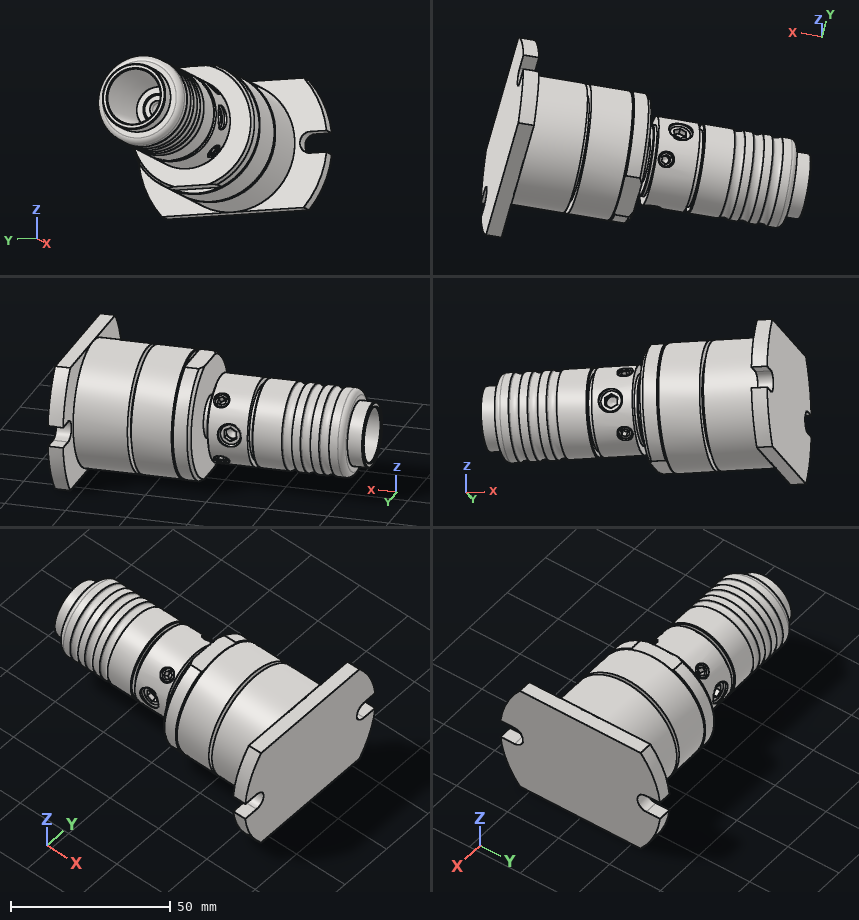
import cadquery as cq
import math

TOTAL_LENGTH = 97.1
EDGE_BREAK = 0.3

NOSE_DIA = 21.0
NOSE_LENGTH = 5.05
BORE_MOUTH_DIA = 17.7
BORE_FLOOR_DIA = 14.0
BORE_DEPTH = 22.3
RING_GROOVE_OUTER_DIA = 9.7
RING_GROOVE_INNER_DIA = 8.9
RING_GROOVE_DEPTH = 0.5
CENTRE_HOLE_DIA = 4.0
CENTRE_HOLE_RIM_DIA = 5.2
DRILL_POINT_ANGLE = 118.0

SLEEVE_DIA = 28.6
SLEEVE_END = 35.2
SLEEVE_ROUND = 2.0
GRIP_START = 9.9
GRIP_GROOVE_WIDTH = 3.3
GRIP_GROOVE_DEPTH = 0.6
GRIP_EDGE_DROP = 0.2
GRIP_PITCH = 6.1
GRIP_COUNT = 3

NECK_DIA = 24.7
COLLAR_START = 36.7
COLLAR_END = 49.8
FLANGE_DIA = 22.8
FLANGE_END = 51.0
SHAFT_DIA = 14.0

NUT_START = 53.5
NUT_CHAMFER_LENGTH = 1.1
NUT_CHAMFER_HEIGHT = 0.9
NUT_ACROSS_FLATS = 38.1
BODY_START = 59.4
BODY_DIA = 41.5
BODY_GROOVE_DIA = 34.6
BODY_GROOVE_START = 72.9
BODY_GROOVE_WIDTH = 1.3

PLATE_THICKNESS = 5.05
PLATE_WIDTH = 62.6
SLOT_WIDTH = 6.8
SLOT_CENTRE_Y = 25.8
PLATE_RADIUS = math.hypot(PLATE_WIDTH / 2, SLOT_WIDTH / 2)

LARGE_SCREW_X = 42.7
LARGE_SCREW_HOLE_DIA = 7.7
LARGE_SCREW_FACE_DIA = 6.6
LARGE_SCREW_FACE_RADIUS = 13.0
LARGE_SOCKET_WIDTH = 4.0
LARGE_SOCKET_DEPTH = 1.9
LARGE_SCREW_ANGLES = (0, 180)
SMALL_SCREW_X = 46.5
SMALL_SCREW_HOLE_DIA = 5.05
SMALL_SCREW_FACE_DIA = 4.2
SMALL_SCREW_FACE_RADIUS = 13.7
SMALL_SOCKET_WIDTH = 2.6
SMALL_SOCKET_DEPTH = 2.9
SMALL_SCREW_ANGLES = (45, 135, 225, 315)


def cylinder(start, end, diameter):
    """Round bar along X between two stations."""
    return cq.Workplane("YZ").workplane(offset=start).circle(diameter / 2).extrude(end - start)


def ring_bar(start, end, outer_dia, inner_dia):
    """Hollow bar along X between two stations."""
    return cylinder(start, end, outer_dia).cut(cylinder(start, end, inner_dia))


def cone(start_dia, end_dia, length, origin, direction):
    """Cone from an origin along a direction; the end diameter may be zero."""
    solid = cq.Solid.makeCone(start_dia / 2, end_dia / 2, length, cq.Vector(*origin), cq.Vector(*direction))
    return cq.Workplane(obj=solid)


def frustum(start, end, start_dia, end_dia):
    """Cone along X between two stations."""
    return cone(start_dia, end_dia, end - start, (start, 0, 0), (1, 0, 0))


def drill_point_length(diameter):
    """Height of the cone that a drill tip leaves."""
    return diameter / 2 / math.tan(math.radians(DRILL_POINT_ANGLE / 2))


def nose():
    """Short tube at the open end."""
    tube = cylinder(0, NOSE_LENGTH, NOSE_DIA)
    return tube.faces("<X").chamfer(EDGE_BREAK)


def nose_bore():
    """Tapered bore with a shallow ring groove and a drilled centre in its floor."""
    bore = frustum(0, BORE_DEPTH, BORE_MOUTH_DIA, BORE_FLOOR_DIA)
    mouth = frustum(0, EDGE_BREAK, BORE_MOUTH_DIA + 2 * EDGE_BREAK, BORE_MOUTH_DIA)
    ring_end = BORE_DEPTH + RING_GROOVE_DEPTH
    ring = ring_bar(BORE_DEPTH, ring_end, RING_GROOVE_OUTER_DIA, RING_GROOVE_INNER_DIA)
    rim_end = BORE_DEPTH + (CENTRE_HOLE_RIM_DIA - CENTRE_HOLE_DIA) / 2
    rim = frustum(BORE_DEPTH, rim_end, CENTRE_HOLE_RIM_DIA, CENTRE_HOLE_DIA)
    point = frustum(rim_end, rim_end + drill_point_length(CENTRE_HOLE_DIA), CENTRE_HOLE_DIA, 0)
    return bore.union(mouth).union(ring).union(rim).union(point)


def grip_sleeve():
    """Sleeve turned from a half profile with arc grooves."""
    radius = SLEEVE_DIA / 2
    diagonal = SLEEVE_ROUND * (1 - math.sqrt(0.5))
    profile = (
        cq.Workplane("XY")
        .moveTo(NOSE_LENGTH, 0)
        .lineTo(NOSE_LENGTH, radius - SLEEVE_ROUND)
        .threePointArc(
            (NOSE_LENGTH + diagonal, radius - diagonal),
            (NOSE_LENGTH + SLEEVE_ROUND, radius),
        )
    )
    for index in range(GRIP_COUNT):
        start = GRIP_START + index * GRIP_PITCH
        end = start + GRIP_GROOVE_WIDTH
        profile = (
            profile.lineTo(start, radius)
            .lineTo(start + EDGE_BREAK, radius - GRIP_EDGE_DROP)
            .threePointArc(
                ((start + end) / 2, radius - GRIP_GROOVE_DEPTH),
                (end - EDGE_BREAK, radius - GRIP_EDGE_DROP),
            )
            .lineTo(end, radius)
        )
    profile = (
        profile.lineTo(SLEEVE_END - EDGE_BREAK, radius)
        .lineTo(SLEEVE_END, radius - EDGE_BREAK)
        .lineTo(SLEEVE_END, 0)
        .close()
    )
    return profile.revolve(360, (0, 0, 0), (1, 0, 0))


def screw_recess(angle, x, hole_dia, face_dia, face_radius, socket_width, socket_depth):
    """Countersunk seat with a hexagon socket, at an angle about X measured from +Y toward +Z."""
    seat_height = (hole_dia - face_dia) / 2
    rim_radius = face_radius + seat_height
    seat = cone(face_dia, hole_dia, seat_height, (x, 0, face_radius), (0, 0, 1))
    opening = cq.Workplane("XY", origin=(x, 0, rim_radius)).circle(hole_dia / 2).extrude(SLEEVE_DIA / 2)
    corner_dia = socket_width / math.cos(math.radians(30))
    socket = (
        cq.Workplane("XY", origin=(x, 0, face_radius))
        .transformed(rotate=(0, 0, 90))
        .polygon(6, corner_dia)
        .extrude(-socket_depth)
    )
    socket_floor = (x, 0, face_radius - socket_depth)
    point = cone(socket_width, 0, drill_point_length(socket_width), socket_floor, (0, 0, -1))
    recess = seat.union(opening).union(socket).union(point)
    return recess.rotate((0, 0, 0), (1, 0, 0), angle - 90)


def screw_collar():
    """Collar with set screws and a thin flange behind it."""
    collar = cylinder(COLLAR_START, COLLAR_END, SLEEVE_DIA)
    for angle in LARGE_SCREW_ANGLES:
        recess = screw_recess(
            angle,
            LARGE_SCREW_X,
            LARGE_SCREW_HOLE_DIA,
            LARGE_SCREW_FACE_DIA,
            LARGE_SCREW_FACE_RADIUS,
            LARGE_SOCKET_WIDTH,
            LARGE_SOCKET_DEPTH,
        )
        collar = collar.cut(recess)
    for angle in SMALL_SCREW_ANGLES:
        recess = screw_recess(
            angle,
            SMALL_SCREW_X,
            SMALL_SCREW_HOLE_DIA,
            SMALL_SCREW_FACE_DIA,
            SMALL_SCREW_FACE_RADIUS,
            SMALL_SOCKET_WIDTH,
            SMALL_SOCKET_DEPTH,
        )
        collar = collar.cut(recess)
    flange = cylinder(COLLAR_END, FLANGE_END, FLANGE_DIA).faces(">X").chamfer(EDGE_BREAK)
    return collar.union(flange)


def nut():
    """Chamfered round nut with two flats facing +Z and -Z."""
    blank = cylinder(NUT_START, BODY_START, BODY_DIA)
    blank = blank.faces("<X").chamfer(NUT_CHAMFER_LENGTH, NUT_CHAMFER_HEIGHT)
    blank = blank.faces(">X").chamfer(EDGE_BREAK)
    length = BODY_START - NUT_START
    flats = cq.Workplane("XY").box(length, BODY_DIA, NUT_ACROSS_FLATS)
    return blank.intersect(flats.translate((NUT_START + length / 2, 0, 0)))


def body():
    """Large barrel with a narrow groove."""
    barrel = cylinder(BODY_START, TOTAL_LENGTH - PLATE_THICKNESS, BODY_DIA).faces("<X").chamfer(EDGE_BREAK)
    groove_end = BODY_GROOVE_START + BODY_GROOVE_WIDTH
    groove = ring_bar(BODY_GROOVE_START, groove_end, BODY_DIA, BODY_GROOVE_DIA)
    return barrel.cut(groove)


def mounting_plate():
    """Disc with flat top and bottom and an open slot on each side."""
    start = TOTAL_LENGTH - PLATE_THICKNESS
    disc = cylinder(start, TOTAL_LENGTH, 2 * PLATE_RADIUS)
    middle = start + PLATE_THICKNESS / 2
    plate = disc.intersect(
        cq.Workplane("XY").box(PLATE_THICKNESS, 2 * PLATE_RADIUS, BODY_DIA).translate((middle, 0, 0))
    )
    reach = 2 * (PLATE_RADIUS - SLOT_CENTRE_Y)
    for side in (-1, 1):
        slot = (
            cq.Workplane("YZ", origin=(start, side * (SLOT_CENTRE_Y + reach / 2), 0))
            .slot2D(reach + SLOT_WIDTH, SLOT_WIDTH)
            .extrude(PLATE_THICKNESS)
        )
        plate = plate.cut(slot)
    return plate


result = (
    nose()
    .union(grip_sleeve())
    .union(cylinder(SLEEVE_END, COLLAR_START, NECK_DIA))
    .union(screw_collar())
    .union(cylinder(FLANGE_END, NUT_START, SHAFT_DIA))
    .union(nut())
    .union(body())
    .union(mounting_plate())
    .cut(nose_bore())
)